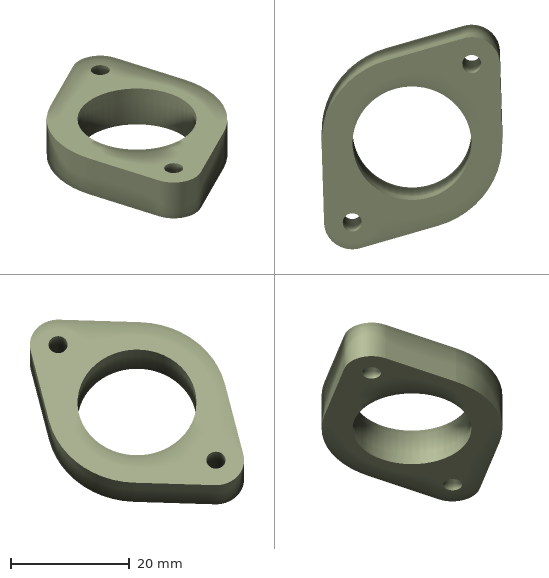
import cadquery as cq
import math

length = 43.9
width = 30.4
thickness = 7.0

bore_diameter = 20.0
bolt_hole_diameter = 3.2
end_radius = 4.75

middle_radius = width / 2
bolt_offset = length / 2 - end_radius

tangent_angle = math.acos((middle_radius - end_radius) / bolt_offset)
middle_x = middle_radius * math.cos(tangent_angle)
middle_y = middle_radius * math.sin(tangent_angle)
end_x = bolt_offset + end_radius * math.cos(tangent_angle)
end_y = end_radius * math.sin(tangent_angle)

flange = (
    cq.Workplane("XY")
    .moveTo(-middle_x, middle_y)
    .threePointArc((0, middle_radius), (middle_x, middle_y))
    .lineTo(end_x, end_y)
    .threePointArc((length / 2, 0), (end_x, -end_y))
    .lineTo(middle_x, -middle_y)
    .threePointArc((0, -middle_radius), (-middle_x, -middle_y))
    .lineTo(-end_x, -end_y)
    .threePointArc((-length / 2, 0), (-end_x, end_y))
    .close()
    .extrude(thickness)
)

result = (
    flange.faces(">Z").workplane(origin=(0, 0, thickness))
    .hole(bore_diameter)
    .faces(">Z").workplane(origin=(0, 0, thickness))
    .pushPoints([(-bolt_offset, 0), (bolt_offset, 0)])
    .hole(bolt_hole_diameter)
)